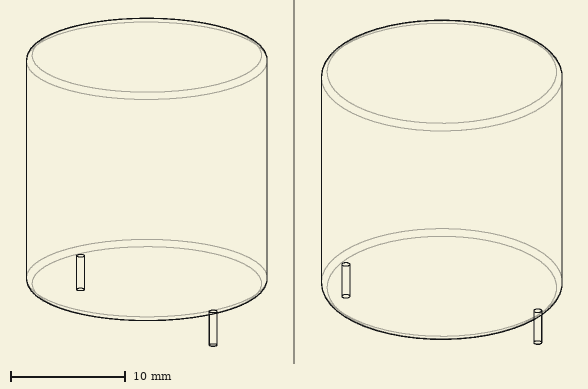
import cadquery as cq

body_diameter = 21.0
body_height = 21.0
edge_radius = 0.5

pin_diameter = 0.7
pin_length = 3.1
pin_pitch = 19.0
pin_embed = 1.0


def make_body():
    """Cylinder with rounded top and bottom rims."""
    cylinder = cq.Workplane("XY").circle(body_diameter / 2).extrude(body_height)
    return cylinder.faces("<Z or >Z").edges().fillet(edge_radius)


def make_pins():
    """Pair of pins, placed symmetrically about the body axis."""
    return (
        cq.Workplane("XY", origin=(0, 0, -pin_length))
        .pushPoints([(-pin_pitch / 2, 0), (pin_pitch / 2, 0)])
        .circle(pin_diameter / 2)
        .extrude(pin_length + pin_embed)
    )


result = make_body().union(make_pins())